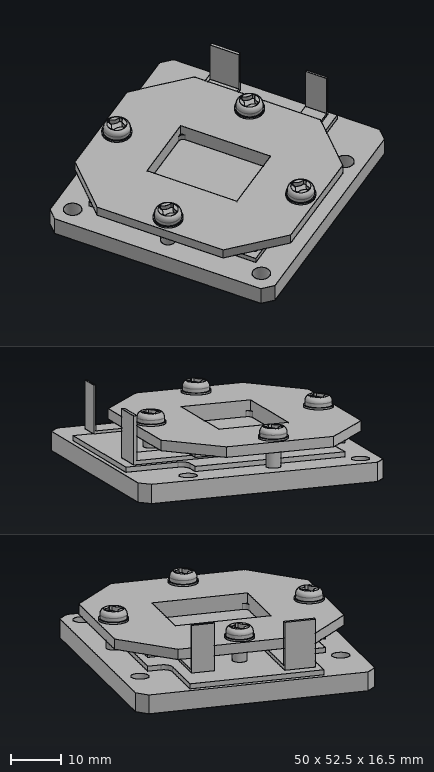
import cadquery as cq
import math

base_length_x = 50.0
base_length_y = 52.5
base_top = 4.0
base_corner_cut = 2.1

center_y = -3.75

mount_hole_diameter = 3.6
mount_hole_spacing_x = 41.9
mount_hole_spacing_y = 36.85

insulator_width = 37.05
insulator_front = -19.8
insulator_shoulder = 12.25
neck_width = 27.95
neck_back = 25.2
neck_fillet = 1.85

cell_width = 25.85
cell_front = -14.1
cell_back = 6.75

lower_insulator_top = 5.05
lower_electrode_top = 5.9
chip_top = 6.5
upper_electrode_top = 7.1
upper_insulator_bottom = 6.9
clamp_bottom = 7.7
clamp_top = 9.85

tab_back = 23.1
lower_tab_width = 6.4
lower_tab_thickness = 0.7
lower_tab_top = 15.05
upper_tab_width = 4.7
upper_tab_thickness = 0.45
upper_tab_top = 16.5

clamp_length_x = 47.95
clamp_length_y = 42.9
clamp_corner_cut = 10.0
window_length_x = 19.95
window_length_y = 14.85
window_corner_radius = 1.0

screw_spacing_x = 40.85
screw_spacing_y = 35.9
shank_diameter = 3.0
washer_diameter = 6.0
washer_thickness = 0.35
head_diameter = 5.45
head_flat_diameter = 4.0
head_straight_height = 0.8
head_height = 1.95
recess_tip_radius = 1.85
recess_tip_width = 0.65
recess_waist_radius = 1.15
recess_depth = 1.0


def block(x_min, x_max, y_min, y_max, z_min, z_max):
    """Box given by its limits along each axis."""
    return cq.Workplane("XY").box(
        x_max - x_min, y_max - y_min, z_max - z_min, centered=False
    ).translate((x_min, y_min, z_min))


def centered_block(width, y_min, y_max, z_min, z_max):
    """Box that is symmetric about the YZ plane."""
    return block(-width / 2, width / 2, y_min, y_max, z_min, z_max)


def make_base():
    """Base plate with cut corners and four through holes."""
    return (
        cq.Workplane("XY")
        .box(base_length_x, base_length_y, base_top, centered=(True, True, False))
        .edges("|Z")
        .chamfer(base_corner_cut)
        .faces(">Z")
        .workplane(origin=(0, center_y, base_top))
        .rect(mount_hole_spacing_x, mount_hole_spacing_y, forConstruction=True)
        .vertices()
        .hole(mount_hole_diameter)
    )


def make_lower_insulator():
    """Insulating plate whose neck meets the wide body in two filleted corners."""
    body = centered_block(
        insulator_width, insulator_front, insulator_shoulder, base_top, lower_insulator_top
    )
    neck = centered_block(
        neck_width, insulator_front, neck_back, base_top, lower_insulator_top
    )
    margin = 0.5
    inner_corners = cq.selectors.BoxSelector(
        (-neck_width / 2 - margin, insulator_shoulder - margin, base_top - margin),
        (neck_width / 2 + margin, insulator_shoulder + margin, lower_insulator_top + margin),
    )
    return body.union(neck).edges("|Z").edges(inner_corners).fillet(neck_fillet)


def make_electrode(x_min, x_max, bottom, top, tab_thickness, tab_top):
    """Plate over the cell with a strip running back to an upright tab."""
    plate = centered_block(cell_width, cell_front, cell_back, bottom, top)
    strip = block(x_min, x_max, cell_back, tab_back, bottom, top)
    tab = block(x_min, x_max, tab_back - tab_thickness, tab_back, bottom, tab_top)
    return plate.union(strip).union(tab)


def make_window(bottom, top):
    """Prism that cuts the window."""
    return (
        cq.Workplane("XY", origin=(0, center_y, bottom))
        .rect(window_length_x, window_length_y)
        .extrude(top - bottom)
    )


def make_clamp_plate():
    """Octagonal plate with a sharp-cornered window."""
    return (
        cq.Workplane("XY", origin=(0, center_y, clamp_bottom))
        .rect(clamp_length_x, clamp_length_y)
        .extrude(clamp_top - clamp_bottom)
        .edges("|Z")
        .chamfer(clamp_corner_cut)
        .cut(make_window(clamp_bottom, clamp_top))
    )


def make_recess(head_top):
    """Four-pointed driver recess with blunt tips and inward-curving sides."""
    half_tip = recess_tip_width / 2
    waist = recess_waist_radius / math.sqrt(2)
    tip = recess_tip_radius
    return (
        cq.Workplane("XY", origin=(0, 0, head_top - recess_depth))
        .moveTo(tip, half_tip)
        .threePointArc((waist, waist), (half_tip, tip))
        .lineTo(-half_tip, tip)
        .threePointArc((-waist, waist), (-tip, half_tip))
        .lineTo(-tip, -half_tip)
        .threePointArc((-waist, -waist), (-half_tip, -tip))
        .lineTo(half_tip, -tip)
        .threePointArc((waist, -waist), (tip, -half_tip))
        .close()
        .extrude(recess_depth)
    )


def make_screw():
    """Screw with washer on the Z axis, reaching down to the base plate."""
    washer_top = clamp_top + washer_thickness
    head_top = washer_top + head_height
    profile = (
        cq.Workplane("XZ")
        .moveTo(0, base_top)
        .lineTo(shank_diameter / 2, base_top)
        .lineTo(shank_diameter / 2, clamp_top)
        .lineTo(washer_diameter / 2, clamp_top)
        .lineTo(washer_diameter / 2, washer_top)
        .lineTo(head_diameter / 2, washer_top)
        .lineTo(head_diameter / 2, washer_top + head_straight_height)
        .tangentArcPoint((head_flat_diameter / 2, head_top), relative=False)
        .lineTo(0, head_top)
        .close()
    )
    return profile.revolve(360, (0, 0, 0), (0, 1, 0)).cut(make_recess(head_top))


cell_half = cell_width / 2

lower_electrode = make_electrode(
    -cell_half, -cell_half + lower_tab_width,
    lower_insulator_top, lower_electrode_top, lower_tab_thickness, lower_tab_top,
)
chip = centered_block(cell_width, cell_front, cell_back, lower_electrode_top, chip_top)
upper_electrode = make_electrode(
    cell_half - upper_tab_width, cell_half,
    chip_top, upper_electrode_top, upper_tab_thickness, upper_tab_top,
)
upper_insulator = centered_block(
    insulator_width, insulator_front, insulator_shoulder, upper_insulator_bottom, clamp_bottom
)

rounded_window = make_window(chip_top, clamp_bottom).edges("|Z").fillet(window_corner_radius)
upper_layers = upper_electrode.union(upper_insulator).cut(rounded_window)

result = make_base().union(make_lower_insulator())
for layer in (lower_electrode, chip, upper_layers, make_clamp_plate()):
    result = result.union(layer)

screw = make_screw()
screw_places = [
    (-screw_spacing_x / 2, center_y),
    (screw_spacing_x / 2, center_y),
    (0, center_y - screw_spacing_y / 2),
    (0, center_y + screw_spacing_y / 2),
]
for x, y in screw_places:
    result = result.union(screw.translate((x, y, 0)))